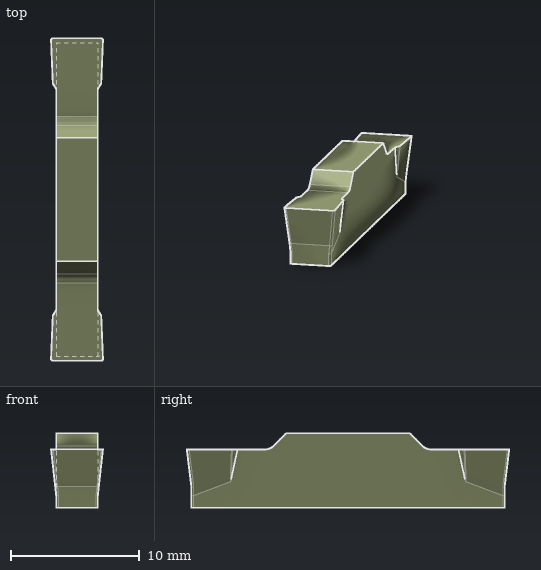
import cadquery as cq
import math

length = 25.07
height = 5.79
head_width = 4.066
body_width = 3.26

seat_height = 4.54
crown_length = 9.6
ramp_angle = 45.0
ramp_fillet = 1.0
relief_foot = 1.66
end_relief_angle = 7.0

head_depth = 3.50
head_bottom = 0.9
back_taper_angle = 2.3
side_relief_angle = 6.1
rear_angle = 30.0
rear_lean = 0.035
rear_inset = 0.9
corner_radius = 0.17


def tangent(degrees):
    return math.tan(math.radians(degrees))


def length_profile(width):
    """Side silhouette in the YZ plane, extruded evenly about X = 0."""
    end_y = length / 2
    foot_y = end_y - (seat_height - relief_foot) * tangent(end_relief_angle)
    crown_y = crown_length / 2
    ramp_y = crown_y + (height - seat_height) / tangent(ramp_angle)
    positive_half = [
        (foot_y, 0),
        (foot_y, relief_foot),
        (end_y, seat_height),
        (ramp_y, seat_height),
        (crown_y, height),
    ]
    negative_half = [(-y, z) for y, z in reversed(positive_half)]
    outline = positive_half + negative_half
    solid = cq.Workplane("YZ").polyline(outline).close().extrude(width / 2, both=True)
    for foot in (-ramp_y, ramp_y):
        solid = solid.edges(cq.NearestToPointSelector((0, foot, seat_height))).fillet(ramp_fillet)
    return solid


def head_outline(drop):
    """Plan outline of the +Y head at a given depth below the seat."""
    end_y = length / 2
    end_x = head_width / 2 - drop * tangent(side_relief_angle)
    depth = head_depth - drop * rear_lean
    corner_x = end_x - depth * tangent(back_taper_angle)
    corner_y = end_y - depth
    inner_x = corner_x - rear_inset
    inner_y = corner_y - rear_inset / tangent(rear_angle)
    positive_half = [(end_x, end_y), (corner_x, corner_y), (inner_x, inner_y)]
    negative_half = [(-x, y) for x, y in reversed(positive_half)]
    return positive_half + negative_half


def head():
    """Tapered +Y head with rounded rear corners; its end is still upright."""
    drop = seat_height - head_bottom
    middle_outline = head_outline(drop / 2)
    blank = (
        cq.Workplane("XY", origin=(0, 0, head_bottom))
        .polyline(head_outline(drop)).close()
        .workplane(offset=drop)
        .polyline(head_outline(0)).close()
        .loft(ruled=True, combine=True)
    )
    rounded = blank
    for corner_x, corner_y in (middle_outline[1], middle_outline[-2]):
        rear_corner = cq.NearestToPointSelector((corner_x, corner_y, seat_height - drop / 2))
        rounded = rounded.edges(rear_corner).fillet(corner_radius)
    return rounded.intersect(length_profile(head_width))


def round_end_corners(solid):
    """Round the upright corners of both end faces, from base to seat."""
    foot_setback = (seat_height - relief_foot) * tangent(end_relief_angle)
    inner_y = length / 2 - foot_setback - corner_radius
    inner_x = body_width / 2 - corner_radius
    for side in (-1, 1):
        for end in (-1, 1):
            corner = cq.selectors.BoxSelector(
                (side * inner_x, end * inner_y, 0),
                (side * head_width, end * length, seat_height),
            )
            solid = solid.edges(corner).edges("not #Z").fillet(corner_radius)
    return solid


back_head = head()
front_head = back_head.mirror("XZ")
insert = length_profile(body_width).union(front_head).union(back_head)
result = round_end_corners(insert)